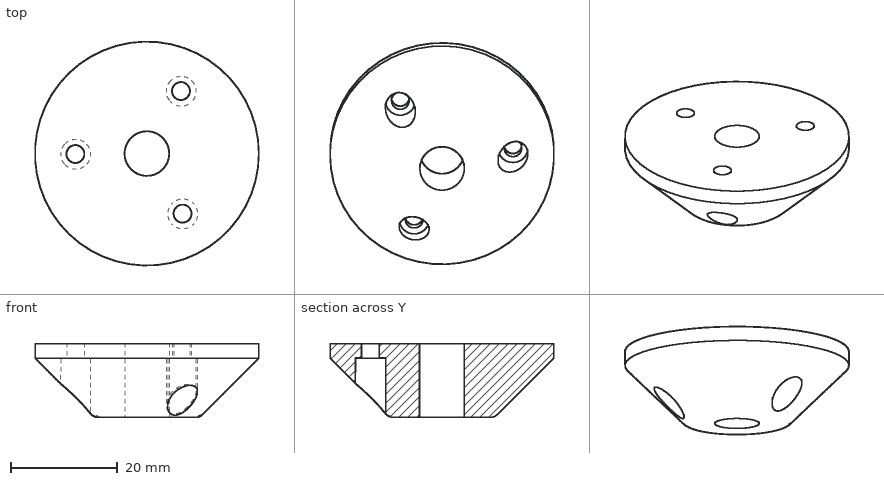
import cadquery as cq

rim_diameter = 42.0
total_height = 13.8
rim_thickness = 2.7
base_fillet = 1.5
bore_diameter = 8.3

screw_diameter = 3.3
head_diameter = 5.6
screw_centers = [(-13.4, -0.1), (6.4, 11.7), (6.68, -11.25)]

rim_underside = total_height - rim_thickness
rim_radius = rim_diameter / 2
base_radius = rim_radius - rim_underside


def make_body():
    """Revolve the half section, then round the small lower edge."""
    section = (
        cq.Workplane("XZ")
        .polyline([
            (0, 0),
            (base_radius, 0),
            (rim_radius, rim_underside),
            (rim_radius, total_height),
            (0, total_height),
        ])
        .close()
    )
    body = section.revolve(360, (0, 0, 0), (0, 1, 0))
    return body.faces("<Z").edges().fillet(base_fillet)


def vertical_cylinders(centers, diameter, height):
    """Cylinders standing on the base plane, used as cutters."""
    return cq.Workplane("XY").pushPoints(centers).circle(diameter / 2).extrude(height)


bore = vertical_cylinders([(0, 0)], bore_diameter, total_height)
screw_holes = vertical_cylinders(screw_centers, screw_diameter, total_height)
head_recesses = vertical_cylinders(screw_centers, head_diameter, rim_underside)

result = make_body().cut(bore).cut(screw_holes).cut(head_recesses)